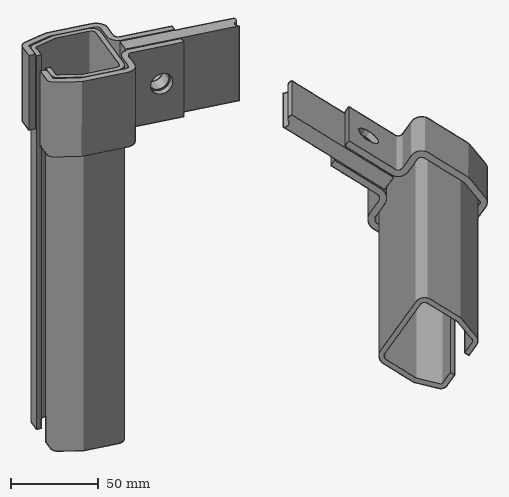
import cadquery as cq
import math

rail_length = 250.0
clamp_height = 50.0
clamp_bottom = rail_length - clamp_height
flank_tilt = math.radians(19)

clamp_sheet = 4.0
clamp_half_width = 28.2
clamp_shoulder = 52.8
clamp_flank_start = 18.0
clamp_lip_end = 9.0
tab_outer_x = 9.2
tab_end = 87.5
clamp_bend = 3.0
clamp_flank_bend = 7.8
clamp_lip_bend = 0.8

rail_sheet = 3.0
rail_half_width = 24.0
rail_base = clamp_sheet
rail_back = 47.5
rail_flank_start = 20.8
rail_lip_end = 7.2
rail_bend = 3.0
rail_flank_bend = 1.2
rail_lip_bend = 1.2

plate_half_width = 4.5
plate_start = 53.8
plate_end = 124.0
plate_wave_level = 123.2
plate_crest_x = -2.5
plate_valley_x = 2.0
plate_valley_y = 121.5

clamp_hole_diameter = 13.5
plate_hole_diameter = 12.5
hole_y = 74.0
hole_z = clamp_bottom + clamp_height / 2


def turn_angle(before, corner, after):
    """Signed change of direction at a corner, positive to the left."""
    heading_in = math.atan2(corner[1] - before[1], corner[0] - before[0])
    heading_out = math.atan2(after[1] - corner[1], after[0] - corner[0])
    return math.remainder(heading_out - heading_in, 2 * math.pi)


def unit(start, end):
    length = math.dist(start, end)
    return ((end[0] - start[0]) / length, (end[1] - start[1]) / length)


def strip_side(points, bends, sheet, offset):
    """One side of a bent strip: its two ends and, per bend, arc start, middle and end.

    Points give the right-hand side of the strip; offset shifts to the left of travel.
    Bends are inner radii.
    """
    first = unit(points[0], points[1])
    last = unit(points[-2], points[-1])
    start = (points[0][0] - offset * first[1], points[0][1] + offset * first[0])
    end = (points[-1][0] - offset * last[1], points[-1][1] + offset * last[0])
    arcs = []
    for before, corner, after, bend in zip(points, points[1:], points[2:], bends):
        turn = turn_angle(before, corner, after)
        way_in = unit(before, corner)
        way_out = unit(corner, after)
        radius = bend + sheet - offset if turn > 0 else bend + offset
        slope = math.tan(turn / 2)
        x = corner[0] - offset * (way_in[1] + slope * way_in[0])
        y = corner[1] + offset * (way_in[0] - slope * way_in[1])
        tangent = radius * abs(slope)
        arc_start = (x - tangent * way_in[0], y - tangent * way_in[1])
        arc_end = (x + tangent * way_out[0], y + tangent * way_out[1])
        bisector = unit(way_in, way_out)
        sagitta = radius * (1 / math.cos(turn / 2) - 1)
        middle = (x + sagitta * bisector[0], y + sagitta * bisector[1])
        arcs.append((arc_start, middle, arc_end))
    return start, arcs, end


def bent_strip(points, bends, sheet, bottom, height):
    """Sheet strip of constant thickness, extruded upward."""
    start, arcs, end = strip_side(points, bends, sheet, 0)
    far_start, far_arcs, far_end = strip_side(points, bends, sheet, sheet)
    outline = cq.Workplane("XY").workplane(offset=bottom).moveTo(*start)
    for arc_start, middle, arc_end in arcs:
        outline = outline.lineTo(*arc_start).threePointArc(middle, arc_end)
    outline = outline.lineTo(*end).lineTo(*far_end)
    for arc_start, middle, arc_end in reversed(far_arcs):
        outline = outline.lineTo(*arc_end).threePointArc(middle, arc_start)
    return outline.lineTo(*far_start).close().extrude(height)


def make_bolt_hole(diameter):
    """Cylinder along X, long enough to cross both clamps and the plate."""
    return (
        cq.Workplane("YZ")
        .center(hole_y, hole_z)
        .circle(diameter / 2)
        .extrude(clamp_half_width, both=True)
    )


def make_clamp():
    """Clamp half on the +X side, from its lip round to its tab."""
    lip_corner = clamp_half_width - clamp_flank_start * math.tan(flank_tilt)
    points = [
        (clamp_lip_end, 0),
        (lip_corner, 0),
        (clamp_half_width, clamp_flank_start),
        (clamp_half_width, clamp_shoulder),
        (tab_outer_x, clamp_shoulder),
        (tab_outer_x, tab_end),
    ]
    bends = [clamp_lip_bend, clamp_flank_bend, clamp_bend, clamp_bend]
    clamp = bent_strip(points, bends, clamp_sheet, clamp_bottom, clamp_height)
    return clamp.cut(make_bolt_hole(clamp_hole_diameter))


def make_rail():
    lip_corner = rail_half_width - (rail_flank_start - rail_base) * math.tan(flank_tilt)
    right_side = [
        (rail_lip_end, rail_base),
        (lip_corner, rail_base),
        (rail_half_width, rail_flank_start),
        (rail_half_width, rail_back),
    ]
    left_side = [(-x, y) for x, y in reversed(right_side)]
    right_bends = [rail_lip_bend, rail_flank_bend, rail_bend]
    bends = right_bends + right_bends[::-1]
    return bent_strip(right_side + left_side, bends, rail_sheet, 0, rail_length)


def make_plate():
    """Flat plate whose far end is a wavy break: a crest arc, then a valley arc."""
    wave_middle_x = 2 * plate_crest_x + plate_half_width
    plate = (
        cq.Workplane("XY")
        .workplane(offset=clamp_bottom)
        .moveTo(-plate_half_width, plate_start)
        .lineTo(plate_half_width, plate_start)
        .lineTo(plate_half_width, plate_wave_level)
        .threePointArc((plate_valley_x, plate_valley_y), (wave_middle_x, plate_wave_level))
        .threePointArc((plate_crest_x, plate_end), (-plate_half_width, plate_wave_level))
        .close()
        .extrude(clamp_height)
    )
    return plate.cut(make_bolt_hole(plate_hole_diameter))


rail = make_rail()
plate = make_plate()
right_clamp = make_clamp()
clamps = [right_clamp, right_clamp.mirror("YZ")]

result = cq.Compound.makeCompound(
    [rail.val(), plate.val(), *[clamp.val() for clamp in clamps]]
)